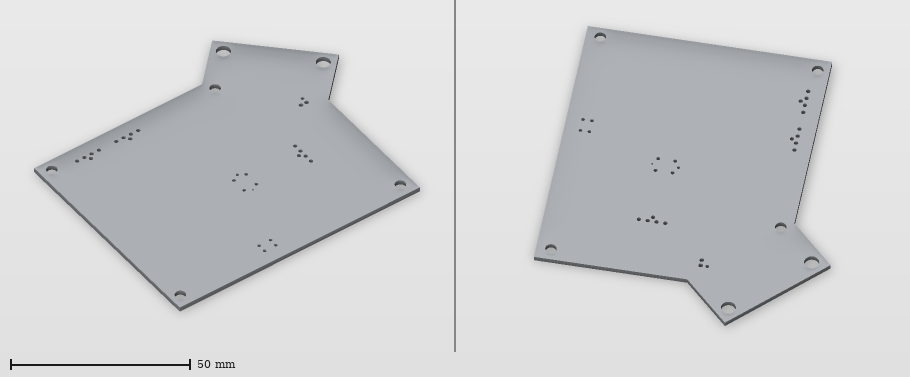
import cadquery as cq

overall_x = 81.84
overall_y = 95.62
thickness = 1.51

board_x = 69.25
board_y = 82.55

tab_left = board_x - overall_x
tab_top = overall_y
tab_run = 25.28
tab_apex_x = tab_left + tab_run
tab_corner_y = tab_top - tab_run

tab_hole_diameter = 4.2
tab_hole_inset = 5.35
tab_hole_points = [
    (tab_left + tab_hole_inset, tab_corner_y),
    (tab_apex_x, tab_top - tab_hole_inset),
]
board_hole_diameter = 3.2
board_hole_points = [
    (3.4, 3.65),
    (65.1, 3.2),
    (65.08, 78.88),
    (3.48, 59.72),
]

connector_pin_count = 4
connector_pitch = 2.5
connector_hole_diameter = 1.2
connector_peg_offset = 1.42
side_connector_x = 4.67
side_connector_centers_y = [15.15, 28.65]
top_connector_center_x = 39.12
top_connector_y = 64.22

trio_x = 23.0
trio_y = 77.05
trio_step = 1.9
trio_large_diameter = 1.3
trio_small_diameter = 1.04

switch_x = 39.04
switch_y = 44.35
switch_pin_spacing_x = 4.83
switch_pin_spacing_y = 4.2
switch_pin_diameter = 1.04
switch_peg_spacing = 7.45
switch_left_peg_diameter = 0.89
switch_right_peg_diameter = 0.52

quad_x = 63.3
quad_y = 34.5
quad_spacing_x = 2.54
quad_spacing_y = 3.9
quad_hole_diameter = 1.0


def make_plate():
    """Board outline with the slanted tab, extruded to the board thickness."""
    outline = [
        (0, 0),
        (board_x, 0),
        (board_x, board_y),
        (tab_apex_x + tab_top - board_y, board_y),
        (tab_apex_x, tab_top),
        (tab_left, tab_corner_y),
        (0, tab_corner_y + tab_left),
    ]
    return cq.Workplane("XY").polyline(outline).close().extrude(thickness)


def drill(plate, points, diameter):
    """Cut through holes of one diameter at the given points."""
    cutters = cq.Workplane("XY").pushPoints(points).circle(diameter / 2).extrude(thickness)
    return plate.cut(cutters)


def rectangle_points(center_x, center_y, spacing_x, spacing_y):
    """Corners of a rectangle around a center."""
    return [
        (center_x + side_x * spacing_x / 2, center_y + side_y * spacing_y / 2)
        for side_x in (-1, 1)
        for side_y in (-1, 1)
    ]


def row_offsets():
    """Pin positions along a connector, measured from its middle."""
    middle = (connector_pin_count - 1) / 2
    return [(index - middle) * connector_pitch for index in range(connector_pin_count)]


def drill_side_connector(plate, center_y):
    """Connector row along Y with its peg on the +X side."""
    pins = [(side_connector_x, center_y + offset) for offset in row_offsets()]
    plate = drill(plate, pins, connector_hole_diameter)
    return drill(plate, [(side_connector_x + connector_peg_offset, center_y)], connector_hole_diameter)


def drill_top_connector(plate):
    """Connector row along X with its peg on the -Y side."""
    pins = [(top_connector_center_x + offset, top_connector_y) for offset in row_offsets()]
    plate = drill(plate, pins, connector_hole_diameter)
    peg = (top_connector_center_x, top_connector_y - connector_peg_offset)
    return drill(plate, [peg], connector_hole_diameter)


def drill_trio(plate):
    """Two large holes stacked along Y and a small one to the left of the upper hole."""
    plate = drill(plate, [(trio_x, trio_y), (trio_x, trio_y - trio_step)], trio_large_diameter)
    return drill(plate, [(trio_x - trio_step, trio_y)], trio_small_diameter)


def drill_switch(plate):
    """Switch pins and the two pegs on its X centerline."""
    pins = rectangle_points(switch_x, switch_y, switch_pin_spacing_x, switch_pin_spacing_y)
    plate = drill(plate, pins, switch_pin_diameter)
    plate = drill(plate, [(switch_x - switch_peg_spacing / 2, switch_y)], switch_left_peg_diameter)
    return drill(plate, [(switch_x + switch_peg_spacing / 2, switch_y)], switch_right_peg_diameter)


result = make_plate()
result = drill(result, tab_hole_points, tab_hole_diameter)
result = drill(result, board_hole_points, board_hole_diameter)
for connector_center_y in side_connector_centers_y:
    result = drill_side_connector(result, connector_center_y)
result = drill_top_connector(result)
result = drill_trio(result)
result = drill_switch(result)
result = drill(
    result,
    rectangle_points(quad_x, quad_y, quad_spacing_x, quad_spacing_y),
    quad_hole_diameter,
)